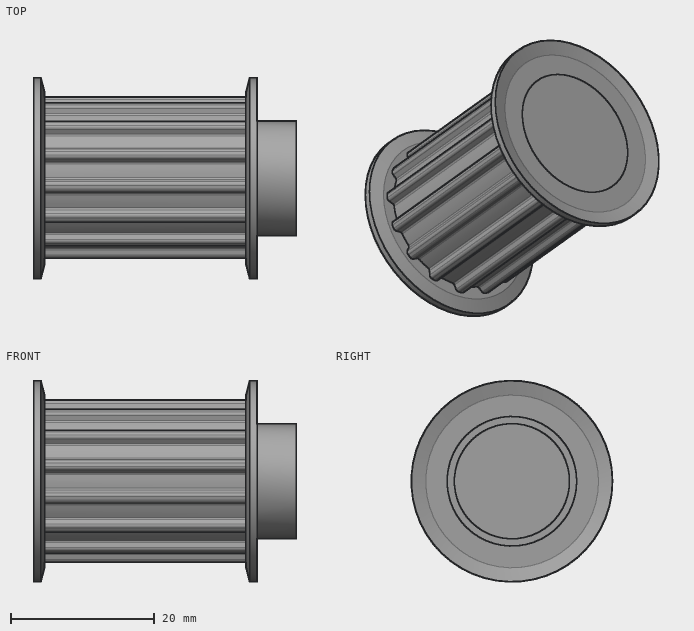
import cadquery as cq
import math

overall_length = 36.55
hub_length = 5.48
hub_diameter = 16.0

flange_diameter = 28.0
flange_flat_diameter = 24.0
flange_bore = 18.0
flange_thickness = 1.02
dish_depth = 0.5

tooth_count = 15
tip_diameter = 22.65
root_diameter = 20.43
groove_bottom_width = 2.23
flank_angle = math.radians(32)
root_fillet = 0.3
tip_fillet = 0.5

tip_radius = tip_diameter / 2
root_radius = root_diameter / 2
tooth_pitch = 2 * math.pi / tooth_count
flange_width = flange_thickness + dish_depth
left_face = -overall_length / 2
right_face = overall_length / 2
hub_start = right_face - hub_length
teeth_start = left_face + flange_width
teeth_end = hub_start - flange_width
teeth_length = teeth_end - teeth_start


def polar(radius, angle):
    """Point in the YZ plane, with the angle measured from -Y towards +Z."""
    return (-radius * math.cos(angle), radius * math.sin(angle))


def flank_corners():
    """Polar corners (radius, angle from the groove centre) of one flank, from root to tip.

    The flank is a line at a signed distance from the axis. Each fillet centre is offset from
    that line by the fillet radius and lies on a circle concentric with the pulley.
    """
    half_bottom = groove_bottom_width / 2
    bottom_angle = math.asin(half_bottom / root_radius)
    flank_offset = root_radius * math.sin(bottom_angle - flank_angle)

    root_offset = flank_offset - root_fillet
    root_along = math.sqrt((root_radius + root_fillet) ** 2 - root_offset**2)
    tip_offset = flank_offset + tip_fillet
    tip_along = math.sqrt((tip_radius - tip_fillet) ** 2 - tip_offset**2)

    return [
        (root_radius, flank_angle + math.atan2(root_offset, root_along)),
        (math.hypot(flank_offset, root_along), flank_angle + math.atan2(flank_offset, root_along)),
        (math.hypot(flank_offset, tip_along), flank_angle + math.atan2(flank_offset, tip_along)),
        (tip_radius, flank_angle + math.atan2(tip_offset, tip_along)),
    ]


def toothed_outline():
    """Closed outline of the toothed section, traced groove by groove."""
    root_end, flank_start, flank_end, tip_start = flank_corners()

    def corner(corner_polar, groove_angle, side):
        radius, angle = corner_polar
        return polar(radius, groove_angle + side * angle)

    outline = cq.Workplane("YZ", origin=(teeth_start, 0, 0)).moveTo(*corner(root_end, 0, -1))
    for index in range(tooth_count):
        here = index * tooth_pitch
        following = here + tooth_pitch
        outline = (
            outline.radiusArc(corner(root_end, here, 1), root_radius)
            .radiusArc(corner(flank_start, here, 1), -root_fillet)
            .lineTo(*corner(flank_end, here, 1))
            .radiusArc(corner(tip_start, here, 1), tip_fillet)
            .radiusArc(corner(tip_start, following, -1), tip_radius)
            .radiusArc(corner(flank_end, following, -1), tip_fillet)
            .lineTo(*corner(flank_start, following, -1))
            .radiusArc(corner(root_end, following, -1), -root_fillet)
        )
    return outline.close()


def cylinder_along_x(diameter, start, end):
    return cq.Workplane("YZ", origin=(start, 0, 0)).circle(diameter / 2).extrude(end - start)


def make_pulley():
    """Toothed section with a seat for each flange and the plain hub on the +X end."""
    teeth = toothed_outline().extrude(teeth_length)
    left_seat = cylinder_along_x(flange_bore, left_face + dish_depth, teeth_start)
    right_seat = cylinder_along_x(flange_bore, teeth_end, hub_start - dish_depth)
    hub = cylinder_along_x(hub_diameter, hub_start - dish_depth, right_face)
    return teeth.union(left_seat).union(right_seat).union(hub)


def make_flange(inner_face, outward):
    """Dished ring whose flat inner face touches the teeth; outward is the X direction of the dish."""
    bore_radius = flange_bore / 2
    flat_radius = flange_flat_diameter / 2
    rim_radius = flange_diameter / 2
    section = [
        (0, bore_radius),
        (0, flat_radius),
        (dish_depth, rim_radius),
        (flange_width, rim_radius),
        (flange_thickness, flat_radius),
        (flange_thickness, bore_radius),
    ]
    points = [(inner_face + outward * depth, radius) for depth, radius in section]
    return cq.Workplane("XY").polyline(points).close().revolve(360, (0, 0, 0), (1, 0, 0))


pulley = make_pulley()
flanges = [make_flange(face, outward) for face, outward in ((teeth_start, -1), (teeth_end, 1))]

result = cq.Compound.makeCompound([pulley.val(), *[flange.val() for flange in flanges]])